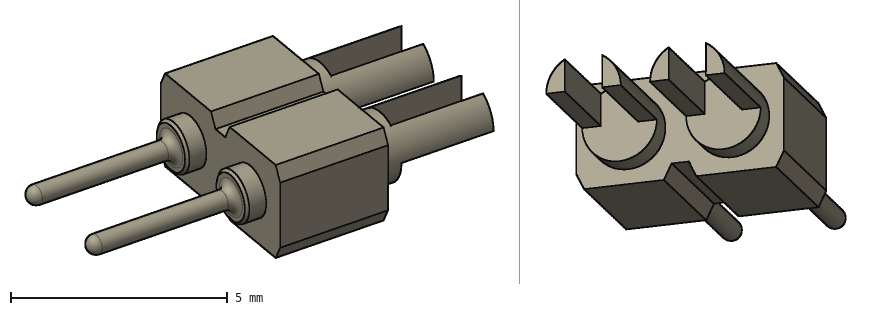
import cadquery as cq
import math


body_width = 5.08
pitch = body_width / 2
body_height = 2.54
body_length = 2.97
corner_width = 0.19
corner_height = 0.38
notch_floor_width = 0.41
notch_mouth_width = notch_floor_width + 2 * corner_width
notch_depth = corner_height

total_length = 10.6
pin_reach = 4.49
pin_radius = 0.25
collar_radius = 0.68
collar_length = 0.54
collar_chamfer = 0.07
root_fillet = 0.23

fork_radius = 0.91
fork_base_length = 0.6
fork_reach = total_length - body_length - pin_reach
fork_slot_width = 0.91


def make_body():
    """Bevelled block with a trapezoidal notch above and below its middle."""
    half_width = body_width / 2
    half_height = body_height / 2
    shoulder = half_height - corner_height
    upper_right = [
        (notch_floor_width / 2, half_height - notch_depth),
        (notch_mouth_width / 2, half_height),
        (half_width - corner_width, half_height),
        (half_width, shoulder),
    ]
    lower_right = [(x, -z) for x, z in reversed(upper_right)]
    right_side = upper_right + lower_right
    left_side = [(-x, -z) for x, z in right_side]
    return cq.Workplane("XZ").polyline(right_side + left_side).close().extrude(-body_length)


def make_pin():
    """Round-tipped pin flaring through a concave fillet into its chamfered collar."""
    diagonal = math.sqrt(0.5)
    fillet_centre_radius = pin_radius + root_fillet
    fillet_end = -collar_length - root_fillet
    tip_centre = -pin_reach + pin_radius
    return (
        cq.Workplane("XY")
        .moveTo(0, body_length / 2)
        .lineTo(collar_radius, body_length / 2)
        .lineTo(collar_radius, -collar_length + collar_chamfer)
        .lineTo(collar_radius - collar_chamfer, -collar_length)
        .lineTo(fillet_centre_radius, -collar_length)
        .threePointArc(
            (fillet_centre_radius - root_fillet * diagonal, fillet_end + root_fillet * diagonal),
            (pin_radius, fillet_end),
        )
        .lineTo(pin_radius, tip_centre)
        .threePointArc(
            (pin_radius * diagonal, tip_centre - pin_radius * diagonal),
            (0, -pin_reach),
        )
        .close()
        .revolve(360, (0, 0, 0), (0, 1, 0))
    )


def make_fork():
    """Round terminal cut to its upper half beyond the base, then slotted into two prongs."""
    back_face = cq.Workplane("XZ", origin=(0, body_length, 0))
    fork_root = cq.Workplane("XZ", origin=(0, body_length + fork_base_length, 0))
    prong_length = fork_reach - fork_base_length
    fork = back_face.circle(fork_radius).extrude(-fork_reach)
    lower_half = (
        fork_root.center(0, -fork_radius / 2)
        .rect(2 * fork_radius, fork_radius)
        .extrude(-prong_length)
    )
    slot = fork_root.rect(fork_slot_width, 2 * fork_radius).extrude(-prong_length)
    return fork.cut(lower_half).cut(slot)


result = make_body()
for contact_x in (-pitch / 2, pitch / 2):
    for contact_part in (make_pin(), make_fork()):
        result = result.union(contact_part.translate((contact_x, 0, 0)))